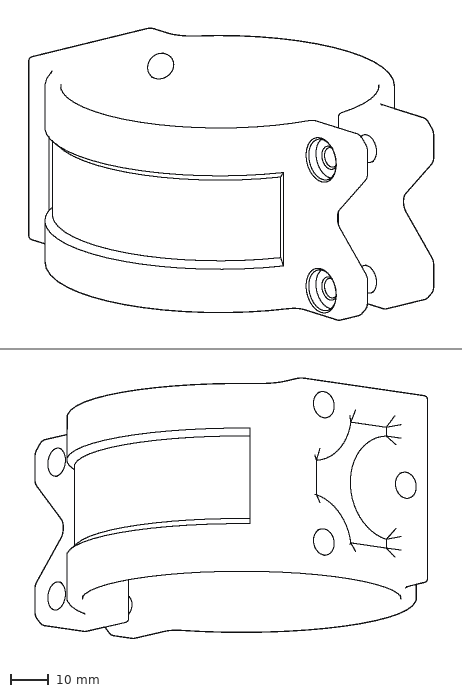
import cadquery as cq
import math

bore_radius = 42.0
ring_radius = 46.2
height = 50.0
edge_round = 1.0

block_face_x = -52.5
block_width = 44.1
block_corner_round = 2.0
block_blend = 8.0

tab_end_x = 64.2
gap = 8.0
insert_tab_thickness = 15.3
head_tab_thickness = 8.2
insert_tab_face_y = gap / 2 + insert_tab_thickness
head_tab_face_y = -gap / 2 - head_tab_thickness
tab_blend = 3.0
gap_corner_round = 2.0
tab_corner_cut = 3.0
tab_outline_round = 3.0

notch_tip_x = 52.2
notch_mouth_half = 13.5

screw_x = 54.3
screw_z = 18.0
screw_diameter = 5.3
insert_diameter = 7.5
head_diameter = 11.0
head_depth = 3.0
hole_chamfer = 0.5

mount_diameter = 7.0
mount_points = [(14.0, 18.4), (14.0, -18.4), (-13.7, 0.0)]

pocket_depth = 6.0
pocket_wall_angle = 45
pocket_floor_width = 23.6
pocket_floor_height = 32.4
mount_boss_radius = 14.0
pocket_rim_round = 1.0

band_depth = 2.0
band_rim_height = 25.7
band_floor_height = 22.2
band_angles = [(28.8, 144.3), (216.3, 339.9)]


def box(x0, x1, y0, y1):
    """A full-height box between two X and two Y values, centred on Z = 0."""
    return cq.Workplane("XY").box(x1 - x0, y1 - y0, height).translate(((x0 + x1) / 2, (y0 + y1) / 2, 0))


def disc(radius):
    """A full-height cylinder around the Z axis, centred on Z = 0."""
    return cq.Workplane("XY").circle(radius).extrude(height / 2, both=True)


def upright_edge(body, radius, y, side_x):
    """The edge along Z where a flat face at the given Y meets a cylinder around the Z axis."""
    corner = (side_x * math.sqrt(radius**2 - y**2), y, 0)
    return body.edges("|Z").edges(cq.selectors.NearestToPointSelector(corner))


def make_outline():
    """The solid disc with the mounting block and the undivided tabs blended into it."""
    half_block = block_width / 2
    body = disc(ring_radius)
    body = body.union(box(block_face_x, 0, -half_block, half_block))
    body = body.union(box(0, tab_end_x, head_tab_face_y, insert_tab_face_y))
    for y in (-half_block, half_block):
        body = upright_edge(body, ring_radius, y, -1).fillet(block_blend)
    for y in (head_tab_face_y, insert_tab_face_y):
        body = upright_edge(body, ring_radius, y, 1).fillet(tab_blend)
    return body.edges("|Z and <X").fillet(block_corner_round)


def shape_tabs(body):
    """Cut off the outer tab corners, cut the V notch and round the resulting tab outline."""
    tip_half = notch_mouth_half - (tab_end_x - notch_tip_x)
    notch_points = [
        (notch_tip_x, tip_half),
        (tab_end_x, notch_mouth_half),
        (tab_end_x, -notch_mouth_half),
        (notch_tip_x, -tip_half),
    ]
    notch = cq.Workplane("XZ").polyline(notch_points).close().extrude(ring_radius, both=True)
    body = body.edges("|Y and >X").chamfer(tab_corner_cut)
    body = body.cut(notch)
    zone_corner = (ring_radius, -ring_radius, -height)
    far_zone_corner = (2 * tab_end_x, ring_radius, height)
    tab_zone = cq.selectors.BoxSelector(zone_corner, far_zone_corner)
    return body.edges("|Y").edges(tab_zone).fillet(tab_outline_round)


def open_ring(body):
    """Bore the ring, split it between the tabs and round the upright edges of the split."""
    body = body.cut(disc(bore_radius))
    body = body.cut(box(0, tab_end_x, -gap / 2, gap / 2))
    for y in (-gap / 2, gap / 2):
        body = upright_edge(body, bore_radius, y, 1).fillet(gap_corner_round)
    return body


def round_sharp_edges(body):
    """Round the top, bottom and tab edges; the other edges along Y and Z are already smooth."""
    sharp = body.edges("(not |Z) and (not |Y)").add(body.edges("|Z and >X"))
    return sharp.fillet(edge_round)


def make_band(start, end):
    """A slope-sided band to cut from the ring between two angles about Z."""
    floor_radius = ring_radius - band_depth
    cutter_radius = ring_radius + band_depth
    floor_half = band_floor_height / 2
    cutter_half = band_rim_height - floor_half
    section = [
        (floor_radius, -floor_half),
        (cutter_radius, -cutter_half),
        (cutter_radius, cutter_half),
        (floor_radius, floor_half),
    ]
    band = cq.Workplane("XZ").polyline(section).close().revolve(end - start, (0, 0), (0, 1))
    return band.rotate((0, 0, 0), (0, 0, 1), start)


def screw_cylinder(diameter, start_y, length, z):
    """A cylinder on a screw axis, running towards +Y."""
    return cq.Workplane("XZ", origin=(screw_x, start_y, z)).circle(diameter / 2).extrude(-length)


def screw_chamfer(diameter, start_y, z):
    """The cone that chamfers the -Y mouth of a hole on a screw axis."""
    return (
        cq.Workplane("XZ", origin=(screw_x, start_y, z))
        .circle(diameter / 2 + hole_chamfer)
        .workplane(offset=-hole_chamfer)
        .circle(diameter / 2)
        .loft()
    )


def cut_screw_holes(body):
    """Cut counterbored screw holes in the head tab and plain holes through the insert tab."""
    seat_y = head_tab_face_y + head_depth
    for z in (-screw_z, screw_z):
        body = body.cut(screw_cylinder(screw_diameter, head_tab_face_y, head_tab_thickness, z))
        body = body.cut(screw_chamfer(screw_diameter, seat_y, z))
        body = body.cut(screw_cylinder(head_diameter, head_tab_face_y, head_depth, z))
        body = body.cut(screw_chamfer(head_diameter, head_tab_face_y, z))
        body = body.cut(screw_cylinder(insert_diameter, gap / 2, insert_tab_thickness, z))
    return body


def block_plane(x):
    """A plane parallel to the mounting face, facing -X; its local axes are -Y and Z."""
    return cq.Plane(origin=(x, 0, 0), xDir=(0, -1, 0), normal=(-1, 0, 0))


mount_local_points = [(-y, z) for y, z in mount_points]


def cut_pocket(body):
    """Cut the pocket upwards from its floor and round its rim."""
    floor = (
        cq.Sketch()
        .rect(pocket_floor_width, pocket_floor_height)
        .push(mount_local_points)
        .circle(mount_boss_radius, mode="s")
        .reset()
    )
    floor_plane = block_plane(block_face_x + pocket_depth)
    pocket = cq.Workplane(floor_plane).placeSketch(floor).extrude(pocket_depth, taper=-pocket_wall_angle)
    body = body.cut(pocket)
    rim = body.faces("<X").val().innerWires()[0]
    return body.newObject(rim.Edges()).fillet(pocket_rim_round)


def cut_mount_holes(body):
    """Drill the mounting holes from the mounting face into the bore."""
    holes = (
        cq.Workplane(block_plane(block_face_x))
        .pushPoints(mount_local_points)
        .circle(mount_diameter / 2)
        .extrude(block_face_x)
    )
    return body.cut(holes)


result = make_outline()
result = shape_tabs(result)
result = open_ring(result)
result = round_sharp_edges(result)
for start_angle, end_angle in band_angles:
    result = result.cut(make_band(start_angle, end_angle))
result = cut_screw_holes(result)
result = cut_pocket(result)
result = cut_mount_holes(result)